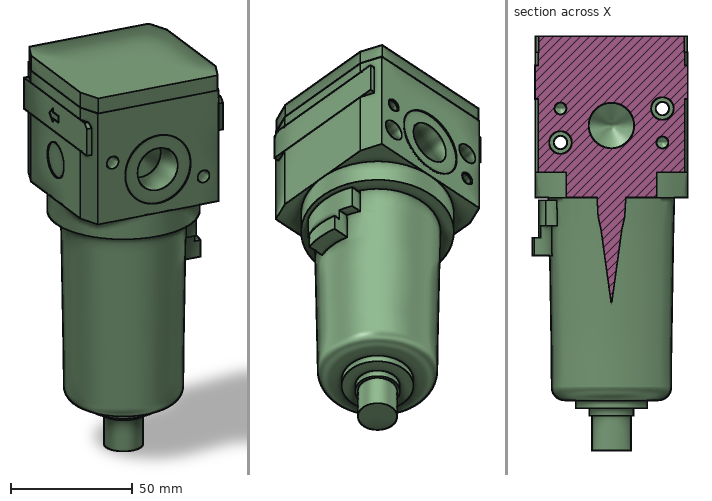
import cadquery as cq
import math


head_width = 63.0
head_depth = 62.8
bar_depth = 63.0
cap_width = 62.8
cap_depth = 62.6
cap_bottom = -6.7
head_bottom = -56.1
corner_cut_x = 9.1
corner_cut_y = 3.5
cap_corner_cut_y = 3.7

bar_length = 57.2
bar_top = -12.0
bar_bottom = -25.9
bar_thickness = 2.2
bar_corner_cut = 2.0

arrow_tip_x = -5.6
arrow_tail_x = 2.5
arrow_neck_x = -2.4
arrow_z = -19.2
arrow_head_half = 3.0
arrow_shaft_half = 1.45
arrow_depth = 0.2
gauge_diameter = 15.2
gauge_z = -38.3
gauge_depth = 0.5

port_z = -36.8
port_diameter = 18.6
port_depth = 16.0
drill_tip_angle = 118.0
seal_diameter = 30.2
seal_depth = 0.5

fixing_offset_y = 21.0
fixing_offset_z = 7.0
through_diameter = 5.4
counterbore_diameter = 9.2
counterbore_depth = 10.0
blind_diameter = 4.8
blind_mouth_diameter = 5.8
blind_depth = 12.0

collar_diameter = 63.0
collar_bottom = -66.5
bowl_top_diameter = 52.0
bowl_bottom_diameter = 49.2
bowl_bottom = -150.1
bowl_edge_radius = 5.6
drain_flange_diameter = 29.6
drain_flange_bottom = -153.3
drain_ring_diameter = 18.4
drain_ring_bottom = -156.4
nozzle_diameter = 16.2
nozzle_bottom = -170.7

latch_top = -67.5
latch_block_bottom = -78.1
latch_lip_top = -83.0
latch_bottom = -90.4
latch_radius = 30.0
latch_lip_radius = 32.68
latch_block_width = 26.0
latch_tab_width = 15.0
latch_inner_y = 20.0


def cylinder_z(diameter, z_top, z_bottom):
    """Upright cylinder on the Z axis."""
    return cq.Workplane("XY").workplane(offset=z_bottom).circle(diameter / 2).extrude(z_top - z_bottom)


def corner_cut_block(width, depth, cut_y, z_top, z_bottom):
    """Block with its four upright corners cut at an angle."""
    half_x = width / 2
    half_y = depth / 2
    flat_x = half_x - corner_cut_x
    flat_y = half_y - cut_y
    outline = [
        (flat_x, half_y),
        (half_x, flat_y),
        (half_x, -flat_y),
        (flat_x, -half_y),
        (-flat_x, -half_y),
        (-half_x, -flat_y),
        (-half_x, flat_y),
        (-flat_x, half_y),
    ]
    return cq.Workplane("XY").workplane(offset=z_bottom).polyline(outline).close().extrude(z_top - z_bottom)


def label_bar(side):
    """Bar on the front (side = -1) or back (side = +1) face, with one cut corner."""
    half = bar_length / 2
    outline = [
        (-half, bar_bottom),
        (half, bar_bottom),
        (half, bar_top - bar_corner_cut),
        (half - bar_corner_cut, bar_top),
        (-half, bar_top),
    ]
    face = cq.Workplane("XZ", origin=(0, side * bar_depth / 2, 0))
    return face.polyline(outline).close().extrude(side * bar_thickness)


def flow_arrow():
    """Arrow-shaped cutter for the front bar, pointing to -X."""
    upper = [
        (arrow_neck_x, arrow_z + arrow_head_half),
        (arrow_neck_x, arrow_z + arrow_shaft_half),
        (arrow_tail_x, arrow_z + arrow_shaft_half),
    ]
    lower = [(x, 2 * arrow_z - z) for x, z in reversed(upper)]
    outline = [(arrow_tip_x, arrow_z)] + upper + lower
    return cq.Workplane("XZ", origin=(0, -bar_depth / 2, 0)).polyline(outline).close().extrude(-arrow_depth)


def gauge_recess():
    """Shallow round cutter for the front face."""
    face = cq.Workplane("XZ", origin=(0, -head_depth / 2, gauge_z))
    return face.circle(gauge_diameter / 2).extrude(-gauge_depth)


def drill_tip_length(radius):
    """Length of the pointed end left by a drill of the given radius."""
    return radius / math.tan(math.radians(drill_tip_angle / 2))


def port():
    """Drilled port with a pointed bottom and a shallow seal recess, entering from -X."""
    face_x = -head_width / 2
    radius = port_diameter / 2
    profile = [
        (face_x, 0),
        (face_x, seal_diameter / 2),
        (face_x + seal_depth, seal_diameter / 2),
        (face_x + seal_depth, radius),
        (face_x + port_depth, radius),
        (face_x + port_depth + drill_tip_length(radius), 0),
    ]
    half_section = cq.Workplane("XZ", origin=(0, 0, port_z)).polyline(profile).close()
    return half_section.revolve(360, (0, 0, 0), (1, 0, 0))


def side_hole(y, z, diameter, depth):
    """Cylindrical cutter entering the -X face."""
    face = cq.Workplane("YZ", origin=(-head_width / 2, y, z))
    return face.circle(diameter / 2).extrude(depth)


def blind_hole(y, z):
    """Blind cutter entering the -X face, with a 45 degree mouth chamfer and a pointed bottom."""
    face_x = -head_width / 2
    radius = blind_diameter / 2
    mouth_radius = blind_mouth_diameter / 2
    profile = [
        (face_x, 0),
        (face_x, mouth_radius),
        (face_x + mouth_radius - radius, radius),
        (face_x + blind_depth, radius),
        (face_x + blind_depth + drill_tip_length(radius), 0),
    ]
    half_section = cq.Workplane("XZ", origin=(0, y, z)).polyline(profile).close()
    return half_section.revolve(360, (0, 0, 0), (1, 0, 0))


def fixing_holes():
    """Two counterbored through holes on one diagonal, two blind holes on the other."""
    cutters = cq.Workplane("XY")
    for side in (-1, 1):
        y = side * fixing_offset_y
        through_z = port_z - side * fixing_offset_z
        blind_z = port_z + side * fixing_offset_z
        cutters = cutters.add(side_hole(y, through_z, through_diameter, head_width))
        cutters = cutters.add(side_hole(y, through_z, counterbore_diameter, counterbore_depth))
        cutters = cutters.add(blind_hole(y, blind_z))
    return cutters.combine()


def head():
    """Cap and head block with bars, arrow, recess, ports and fixing holes."""
    block = corner_cut_block(head_width, head_depth, corner_cut_y, cap_bottom, head_bottom)
    block = block.union(corner_cut_block(cap_width, cap_depth, cap_corner_cut_y, 0, cap_bottom))
    for side in (-1, 1):
        block = block.union(label_bar(side))
    block = block.cut(flow_arrow())
    block = block.cut(gauge_recess())
    block = block.cut(port())
    block = block.cut(port().mirror("YZ"))
    return block.cut(fixing_holes())


def bowl():
    """Tapered bowl with a rounded bottom edge."""
    cone = (
        cq.Workplane("XY")
        .workplane(offset=collar_bottom)
        .circle(bowl_top_diameter / 2)
        .workplane(offset=bowl_bottom - collar_bottom)
        .circle(bowl_bottom_diameter / 2)
        .loft(ruled=True)
    )
    return cone.faces("<Z").edges().fillet(bowl_edge_radius)


def latch_piece(radius, width, z_top, z_bottom):
    """Block with a round outer face centred on the Z axis, running inward to the bowl."""
    half_width = width / 2
    edge_y = math.sqrt(radius**2 - half_width**2)
    section = (
        cq.Workplane("XY")
        .workplane(offset=z_bottom)
        .moveTo(-half_width, latch_inner_y)
        .lineTo(-half_width, edge_y)
        .threePointArc((0, radius), (half_width, edge_y))
        .lineTo(half_width, latch_inner_y)
        .close()
    )
    return section.extrude(z_top - z_bottom)


def latch():
    """Wide block, narrower tab below it and an outward lip at the tab's end."""
    block = latch_piece(latch_radius, latch_block_width, latch_top, latch_block_bottom)
    tab = latch_piece(latch_radius, latch_tab_width, latch_block_bottom, latch_bottom)
    lip = latch_piece(latch_lip_radius, latch_tab_width, latch_lip_top, latch_bottom)
    return block.union(tab).union(lip)


def drain():
    """Stepped drain under the bowl."""
    flange = cylinder_z(drain_flange_diameter, bowl_bottom, drain_flange_bottom)
    ring = cylinder_z(drain_ring_diameter, drain_flange_bottom, drain_ring_bottom)
    nozzle = cylinder_z(nozzle_diameter, drain_ring_bottom, nozzle_bottom)
    return flange.union(ring).union(nozzle)


collar = cylinder_z(collar_diameter, head_bottom, collar_bottom)
result = head().union(collar).union(bowl()).union(latch()).union(drain())